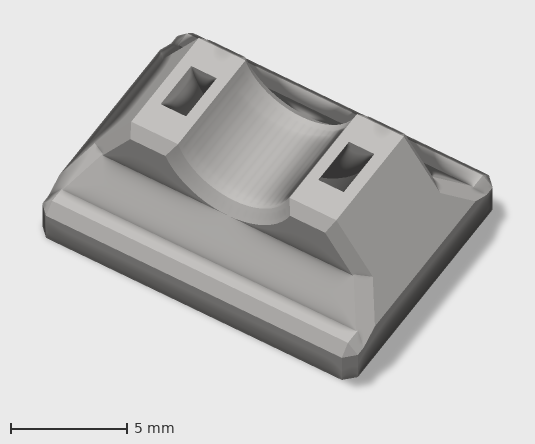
import cadquery as cq

length = 16.0
width = 12.0
height = 6.0

base_height = height / 3
chamfer = length / 32
shoulder_height = base_height - chamfer

top_length = 10.4
saddle_width = 13 * chamfer
foot_rise = 3 * chamfer
foot_top = base_height + foot_rise

groove_radius = 6 * chamfer
groove_depth = height / 3
groove_axis_height = height - groove_depth + groove_radius
strap_width = 5 * chamfer
strap_inner_radius = groove_radius + chamfer
strap_thickness = 2.5 * chamfer


def make_base():
    plate = cq.Workplane("XY").box(length, width, base_height, centered=(True, True, False))
    return plate.edges("|Z or >Z").chamfer(chamfer)


def make_bevelled_ridge(top_half_width, low_half_width):
    """Ridge along X with bevelled corners, given its half widths at the top and the shoulder."""
    end_slope = (length - top_length) / 2 / (height - base_height)
    top_half_length = top_length / 2
    low_half_length = length / 2 + end_slope * chamfer
    ridge = (
        cq.Workplane("XY", origin=(0, 0, shoulder_height))
        .rect(2 * low_half_length, 2 * low_half_width)
        .workplane(offset=height - shoulder_height)
        .rect(2 * top_half_length, 2 * top_half_width)
        .loft(ruled=True)
    )
    return ridge.edges("not #Z").chamfer(chamfer)


def make_saddle():
    half_width = saddle_width / 2
    block = make_bevelled_ridge(half_width, half_width)
    block = block.edges(">Z and |X").chamfer(chamfer)
    foot = make_bevelled_ridge(
        half_width - (height - foot_top),
        half_width + (foot_top - shoulder_height),
    )
    envelope = cq.Workplane("XY").box(length, width, height, centered=(True, True, False))
    return block.union(foot).intersect(envelope)


def revolve_about_groove_axis(points):
    """Revolve (radius, y) points about the groove axis, which runs along Y."""
    return (
        cq.Workplane("XY", origin=(0, 0, groove_axis_height))
        .polyline(points)
        .close()
        .revolve(360, (0, 0), (0, 1))
    )


def make_groove():
    mouth = saddle_width / 2
    bevel_start = mouth - chamfer
    mouth_radius = groove_radius + chamfer
    return revolve_about_groove_axis([
        (0, -mouth),
        (mouth_radius, -mouth),
        (groove_radius, -bevel_start),
        (groove_radius, bevel_start),
        (mouth_radius, mouth),
        (0, mouth),
    ])


def make_strap_channel():
    strap_outer_radius = strap_inner_radius + strap_thickness
    return revolve_about_groove_axis([
        (strap_inner_radius, -strap_width / 2),
        (strap_outer_radius, -strap_width / 2),
        (strap_outer_radius, strap_width / 2),
        (strap_inner_radius, strap_width / 2),
    ])


result = make_base().union(make_saddle()).cut(make_groove()).cut(make_strap_channel())